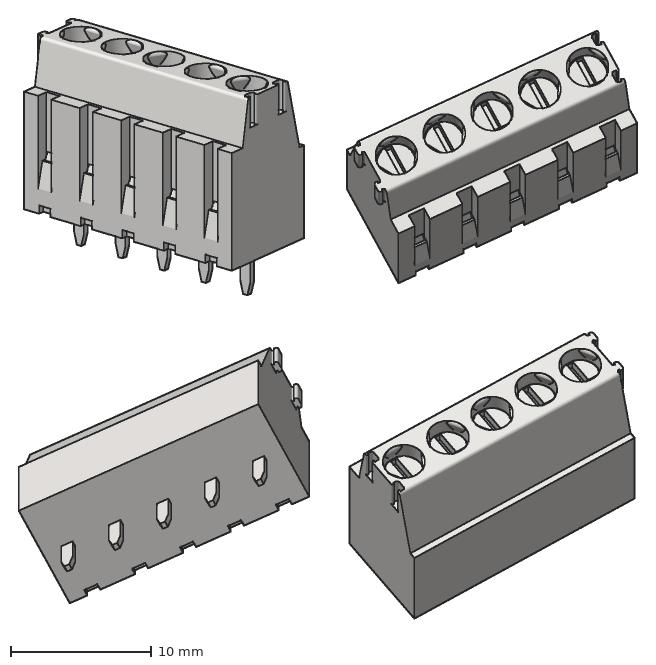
import cadquery as cq
import math


pole_count = 5
total_length = 19.55
tongue_reach = 0.5
body_length = total_length - tongue_reach
pitch = body_length / pole_count
body_depth = 8.2
body_height = 12.63
mid_depth = body_depth / 2
front_ledge_height = 9.01
front_ledge_depth = 1.23
rear_ledge_height = 7.12
rear_ledge_depth = 0.5
top_edge_setback = 1.85
top_edge_radius = 0.27

channel_width = 1.21
channel_depth = 0.94
ramp_bottom = 1.92
ramp_top = 3.9
ramp_depth = 0.49
step_depth = 0.18
inner_ramp_width = 1.04
inner_ramp_top = 4.45

notch_width = 1.04
notch_height = 0.65
notch_depth = 0.49

well_diameter = 3.0
well_depth = 1.2
screw_diameter = 2.8
screw_gap_depth = 0.2
screw_slot_width = 0.5
screw_slot_depth = 0.78
lug_reach = 0.2
lug_round = 0.27
lug_foot_inset = 0.02
lug_angles = (90, 210, 330)
turned_poles = (2, 4)

coupling_spacing = 3.2
coupling_mid = 4.1
coupling_height = 2.3
head_length = 0.31
head_radius = 0.2
head_width = 0.85
neck_width = 0.55
flare_radius = 0.14
socket_clearance = 0.04
socket_reach = 0.59

pin_length = 3.48
pin_width = 0.92
pin_thickness = 0.45
pin_tip_length = 1.0
pin_tip_width = 0.4
pin_root = 0.4

pole_positions = [pitch * (i + 0.5) for i in range(pole_count)]
coupling_positions = [coupling_mid - coupling_spacing / 2, coupling_mid + coupling_spacing / 2]


def box(x_size, y_size, z_size, x_mid, y_min, z_min):
    """Block centred on x_mid in X, starting at y_min and z_min."""
    block = cq.Workplane("XY").box(x_size, y_size, z_size, centered=(True, False, False))
    return block.translate((x_mid, y_min, z_min))


def side_prism(points, width, x_mid):
    """Extrude a (y, z) outline along X, centred on x_mid."""
    prism = cq.Workplane("YZ").polyline(points).close().extrude(width / 2, both=True)
    return prism.translate((x_mid, 0, 0))


def make_housing():
    outline = [
        (0, 0),
        (body_depth, 0),
        (body_depth, rear_ledge_height),
        (body_depth - rear_ledge_depth, rear_ledge_height),
        (body_depth - top_edge_setback, body_height),
        (top_edge_setback, body_height),
        (front_ledge_depth, front_ledge_height),
        (0, front_ledge_height),
    ]
    housing = side_prism(outline, body_length, body_length / 2)
    return housing.faces(">Z").edges("|X").fillet(top_edge_radius)


def make_channel(x):
    """Open-topped wire channel with a two-stage ramp at its foot."""
    step_end = ramp_depth + step_depth
    channel = side_prism(
        [
            (0, ramp_bottom),
            (ramp_depth, ramp_top),
            (channel_depth, ramp_top),
            (channel_depth, front_ledge_height),
            (0, front_ledge_height),
        ],
        channel_width,
        x,
    )
    inner_ramp = side_prism(
        [(step_end, ramp_top), (channel_depth, ramp_top), (channel_depth, inner_ramp_top)],
        inner_ramp_width,
        x,
    )
    return channel.cut(inner_ramp)


def make_lug(angle):
    """Retaining lug: rounded at the top, its flat face sloping back into the well wall below."""
    wall = well_diameter / 2
    inner = wall - lug_reach
    bend = lug_round * (1 - math.sqrt(0.5))
    lug = (
        cq.Workplane("XZ")
        .moveTo(inner + lug_round, 0)
        .threePointArc((inner + bend, -bend), (inner, -lug_round))
        .lineTo(wall + lug_foot_inset, -well_depth)
        .close()
        .extrude(wall, both=True)
    )
    return lug.rotate((0, 0, 0), (0, 0, 1), angle)


def make_well(x, turn):
    """Empty space above and around one slotted screw head."""
    well = cq.Workplane("XY").circle(well_diameter / 2).extrude(-well_depth)
    for angle in lug_angles:
        well = well.cut(make_lug(angle + turn))
    floor = cq.Workplane("XY", origin=(0, 0, -well_depth))
    gap = floor.circle(well_diameter / 2).circle(screw_diameter / 2).extrude(-screw_gap_depth)
    slot = floor.rect(screw_slot_width, well_diameter).extrude(-screw_slot_depth)
    screw = floor.circle(screw_diameter / 2).extrude(-screw_slot_depth)
    well = well.union(gap).union(slot.intersect(screw))
    return well.translate((x, mid_depth, body_height))


def make_coupling(x, y, reach, growth):
    """T-shaped bar hanging from the top: a round-cornered head at x and a flared neck up to x + reach."""
    head_half = head_width / 2 + growth
    neck_half = neck_width / 2 + growth
    head_back = head_length + 2 * growth
    head_bend = head_radius * (1 - math.sqrt(0.5))
    flare_bend = flare_radius * (1 - math.sqrt(0.5))
    half_bar = (
        cq.Workplane("XY")
        .lineTo(0, head_half - head_radius)
        .threePointArc((head_bend, head_half - head_bend), (head_radius, head_half))
        .lineTo(head_back, head_half)
        .lineTo(head_back, neck_half)
        .lineTo(reach - flare_radius, neck_half)
        .threePointArc((reach - flare_bend, neck_half + flare_bend), (reach, neck_half + flare_radius))
        .lineTo(reach, 0)
        .close()
        .extrude(coupling_height)
    )
    bar = half_bar.union(half_bar.mirror("XZ"))
    return bar.translate((x, y, body_height - coupling_height))


def make_pin(x):
    """Flat solder pin with a tapered tip."""
    half = pin_width / 2
    half_tip = pin_tip_width / 2
    outline = [
        (-half, pin_root),
        (-half, pin_tip_length - pin_length),
        (-half_tip, -pin_length),
        (half_tip, -pin_length),
        (half, pin_tip_length - pin_length),
        (half, pin_root),
    ]
    pin = cq.Workplane("XZ").polyline(outline).close().extrude(pin_thickness / 2, both=True)
    return pin.translate((x, mid_depth, 0))


result = make_housing()

for index, pole_x in enumerate(pole_positions):
    lug_turn = 180 if index in turned_poles else 0
    result = result.cut(make_channel(pole_x))
    result = result.cut(box(notch_width, notch_depth, notch_height, pole_x, 0, 0))
    result = result.cut(make_well(pole_x, lug_turn))
    result = result.union(make_pin(pole_x))

for coupling_y in coupling_positions:
    result = result.union(make_coupling(-tongue_reach, coupling_y, tongue_reach, 0))
    socket_x = body_length - socket_reach
    result = result.cut(make_coupling(socket_x, coupling_y, socket_reach, socket_clearance))